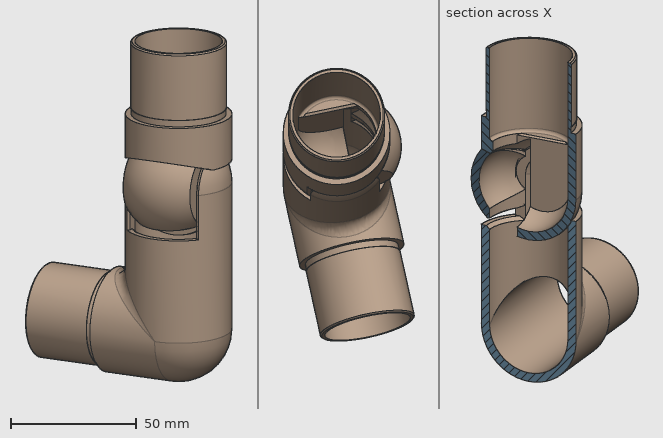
import cadquery as cq
import math


SIDE_TO_SIDE = 80.0
HEIGHT = 140.0

BODY_R = 42.4 / 2
BORE_R = 17.4
SIDE_REACH = SIDE_TO_SIDE - BODY_R
TOP_Z = HEIGHT - BODY_R
CROTCH_FILLET = 5.0

SPIGOT_R = 38.2 / 2
SPIGOT_LENGTH = 30.0
SPIGOT_CHAMFER = 0.5
RELIEF_R = 18.9
RELIEF_LENGTH = 2.7

PIVOT_Z = 60.6
TONGUE_HALF_WIDTH = 14.8
TONGUE_FRONT_Y = -5.2
FRONT_SLOT_BOTTOM_Z = PIVOT_Z - 18.3
BACK_SLOT_BOTTOM_Z = PIVOT_Z - 9.2
CHEEK_EDGE_CHAMFER = 1.5
SWING_CLEARANCE_R = 26.3

COLLAR_BOTTOM_Z = PIVOT_Z + 9.5
COLLAR_TOP_Z = TOP_Z - SPIGOT_LENGTH
BEVEL_START_Y = -8.4
BEVEL_ANGLE = 19.0
FLOOR_Z = PIVOT_Z + 18.2
FLOOR_FILLET = 1.4
PASSAGE_HALF_WIDTH = 11.5
PASSAGE_CHAMFER_WIDTH = 1.1
PASSAGE_CHAMFER_DEPTH = 0.5

VISOR_R = 20.7
VISOR_WALL = BODY_R - BORE_R
VISOR_Z = PIVOT_Z + 0.7
VISOR_BOTTOM_Z = PIVOT_Z - 13.3
VISOR_BOTTOM_ANGLE = 8.0

FAR = 2 * HEIGHT
TOLERANCE = 0.001


def cylinder_z(radius, bottom, top):
    return cq.Workplane("XY").workplane(offset=bottom).circle(radius).extrude(top - bottom)


def cylinder_x(radius, start, end):
    return cq.Workplane("YZ").workplane(offset=start).circle(radius).extrude(end - start)


def ball(radius, y=0.0, z=0.0):
    return cq.Workplane("XY").sphere(radius).translate((0, y, z))


def block(half_width, y_min, y_max, z_min, z_max):
    """Box centred on X = 0 between the given Y and Z limits."""
    box = cq.Workplane("XY").box(
        2 * half_width, y_max - y_min, z_max - z_min, centered=(True, False, False)
    )
    return box.translate((0, y_min, z_min))


def domed_cylinder(radius):
    """Upright cylinder from the elbow corner to the pivot, closed by a dome around the pivot."""
    return cylinder_z(radius, 0, PIVOT_Z).union(ball(radius, z=PIVOT_Z))


def make_spigot():
    """Tube plug along +Z standing on Z = 0, with a shallow relief at its root."""
    relief = cylinder_z(RELIEF_R, 0, RELIEF_LENGTH)
    sleeve = cylinder_z(SPIGOT_R, RELIEF_LENGTH, SPIGOT_LENGTH)
    return relief.union(sleeve.faces(">Z").chamfer(SPIGOT_CHAMFER))



def elbow_outside(shoulder_x):
    """Two arms with a ball corner, a filleted crotch and a domed top."""
    arms = cylinder_z(BODY_R, 0, PIVOT_Z).union(cylinder_x(BODY_R, shoulder_x, 0))
    arms = arms.union(ball(BODY_R))
    filleted = arms.edges("%ELLIPSE").fillet(CROTCH_FILLET)
    return filleted.union(ball(BODY_R, z=PIVOT_Z))


def is_cheek_edge(edge):
    """True for edges where the slot walls meet the outer surface of the cheeks."""
    box = edge.BoundingBox()
    on_wall = abs(box.xlen) < TOLERANCE and abs(abs(box.center.x) - TONGUE_HALF_WIDTH) < TOLERANCE
    return on_wall and box.zmax > PIVOT_Z - TOLERANCE


def cut_hinge_slot(body):
    """Slot through the dome, deeper at the front, with chamfered cheek edges."""
    front = block(TONGUE_HALF_WIDTH, -FAR, 0, FRONT_SLOT_BOTTOM_Z, FAR)
    back = block(TONGUE_HALF_WIDTH, 0, FAR, BACK_SLOT_BOTTOM_Z, FAR)
    slotted = body.cut(front.union(back))
    cheek_edges = [edge for edge in slotted.edges().vals() if is_cheek_edge(edge)]
    return slotted.newObject(cheek_edges).chamfer(CHEEK_EDGE_CHAMFER)


def tongue_recess():
    """Round seat for the tongue, and swing clearance for the visor at the front."""
    seat = ball(BODY_R, z=PIVOT_Z).intersect(block(TONGUE_HALF_WIDTH, -FAR, FAR, 0, FAR))
    clearance = ball(SWING_CLEARANCE_R, z=PIVOT_Z)
    clearance = clearance.intersect(block(TONGUE_HALF_WIDTH, -FAR, 0, 0, FAR))
    return seat.union(clearance)


def make_elbow():
    shoulder_x = SPIGOT_LENGTH - SIDE_REACH
    spigot = make_spigot().rotate((0, 0, 0), (0, 1, 0), -90).translate((shoulder_x, 0, 0))
    body = cut_hinge_slot(elbow_outside(shoulder_x)).union(spigot)
    bore = domed_cylinder(BORE_R).union(cylinder_x(BORE_R, -SIDE_REACH, 0)).union(ball(BORE_R))
    return body.cut(bore).cut(tongue_recess())



def space_above_bevel():
    """Everything above the collar's lower face, which rises at an angle toward the front."""
    rise = (FAR + BEVEL_START_Y) * math.tan(math.radians(BEVEL_ANGLE))
    outline = [
        (FAR, COLLAR_BOTTOM_Z),
        (BEVEL_START_Y, COLLAR_BOTTOM_Z),
        (-FAR, COLLAR_BOTTOM_Z + rise),
        (-FAR, FAR),
        (FAR, FAR),
    ]
    return cq.Workplane("YZ").polyline(outline).close().extrude(FAR, both=True)


def make_tongue():
    """Flat-sided tongue with a round lower end, cut off flat at the front."""
    rounded = cylinder_z(BODY_R, PIVOT_Z, FLOOR_Z).union(ball(BODY_R, z=PIVOT_Z))
    return rounded.intersect(block(TONGUE_HALF_WIDTH, TONGUE_FRONT_Y, FAR, 0, FLOOR_Z))


def make_passage():
    """Opening from the bore floor down through the tongue, with chamfered side edges."""
    front_r = BORE_R - FLOOR_FILLET
    cavity = ball(BORE_R, z=PIVOT_Z)
    back = cylinder_z(BORE_R, PIVOT_Z, FLOOR_Z + FLOOR_FILLET).union(cavity)
    back = back.intersect(block(PASSAGE_HALF_WIDTH, TONGUE_FRONT_Y, FAR, 0, FAR))
    front = cylinder_z(front_r, 0, FLOOR_Z)
    front = front.intersect(block(PASSAGE_HALF_WIDTH, -FAR, TONGUE_FRONT_Y, 0, FAR))

    mouth_half_width = PASSAGE_HALF_WIDTH + PASSAGE_CHAMFER_WIDTH
    chamfer_bottom_z = FLOOR_Z - PASSAGE_CHAMFER_DEPTH
    outline = [
        (-mouth_half_width, FLOOR_Z),
        (-PASSAGE_HALF_WIDTH, chamfer_bottom_z),
        (PASSAGE_HALF_WIDTH, chamfer_bottom_z),
        (mouth_half_width, FLOOR_Z),
    ]
    mouth = cq.Workplane("XZ").polyline(outline).close().extrude(FAR, both=True)
    mouth = mouth.intersect(cylinder_z(front_r, 0, FLOOR_Z))
    return back.union(front).union(mouth)


def make_connector():
    collar = cylinder_z(BODY_R, COLLAR_BOTTOM_Z, COLLAR_TOP_Z).intersect(space_above_bevel())
    dome_seat = ball(BODY_R, z=PIVOT_Z)
    spigot = make_spigot().translate((0, 0, COLLAR_TOP_Z))
    body = collar.cut(dome_seat).union(make_tongue()).union(spigot)
    bore = cylinder_z(BORE_R, FLOOR_Z, TOP_Z).faces("<Z").edges().fillet(FLOOR_FILLET)
    return body.cut(bore).cut(make_passage())



def make_visor():
    outer = ball(VISOR_R, TONGUE_FRONT_Y, VISOR_Z)
    inner = ball(VISOR_R - VISOR_WALL, TONGUE_FRONT_Y, VISOR_Z)
    drop = FAR * math.tan(math.radians(VISOR_BOTTOM_ANGLE))
    outline = [
        (TONGUE_FRONT_Y, VISOR_BOTTOM_Z),
        (TONGUE_FRONT_Y - FAR, VISOR_BOTTOM_Z - drop),
        (TONGUE_FRONT_Y - FAR, FAR),
        (TONGUE_FRONT_Y, FAR),
    ]
    band = cq.Workplane("YZ").polyline(outline).close().extrude(TONGUE_HALF_WIDTH, both=True)
    shell = outer.cut(inner).intersect(band)
    return shell.cut(cylinder_z(BORE_R, 0, TOP_Z)).cut(space_above_bevel())


elbow = make_elbow().solids()
connector = make_connector().solids()
visor = make_visor().solids()

result = cq.Compound.makeCompound([elbow.val(), connector.val(), visor.val()])